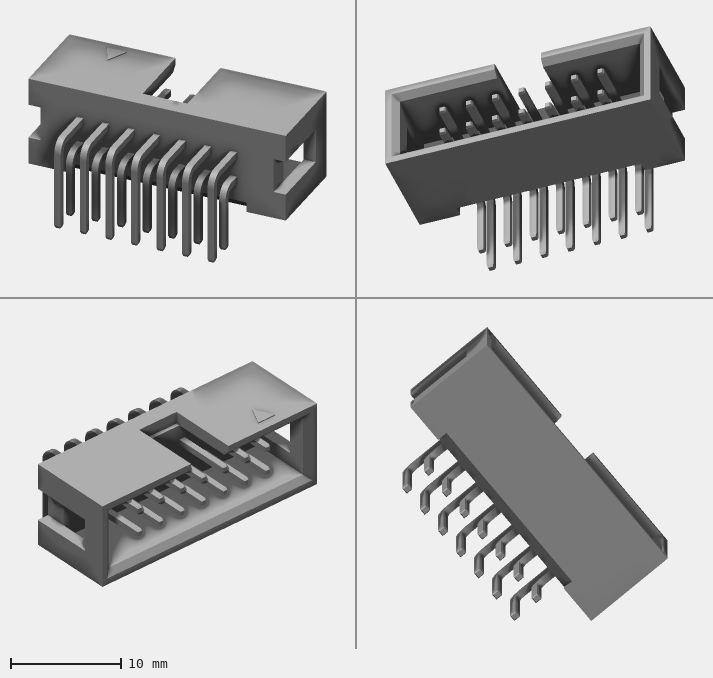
import cadquery as cq


length = 25.58
depth = 9.0
height = 8.8
end_wall = 1.2
side_wall = 1.25
back_wall = 2.17

lead_in = 0.6

key_width = 4.45
key_back_wall = 1.77
window_height = 3.4
window_front_wall = 2.4
bevel_length = 17.8
bevel_size = 1.0

mark_size = 2.0
mark_height = 0.1
mark_from_mouth = 1.0

pins_per_row = 7
pitch = 2.54
pin_width = 0.65
bend_radius = 1.3
pin_reach = 5.01
pin_drop = 3.0
pin_from_mouth = 0.82
tip_length = 0.25
tip_inset = 0.09

pin_positions = [(i - (pins_per_row - 1) / 2) * pitch for i in range(pins_per_row)]


def block(x_size, y_start, y_end, z_start, z_end):
    """Box centred on X = 0 between the given Y and Z limits."""
    return (
        cq.Workplane("XY")
        .box(x_size, y_end - y_start, z_end - z_start, centered=(True, False, False))
        .translate((0, y_start, z_start))
    )


def make_cavity():
    """Rectangular pocket that flares out at the mouth."""
    cavity_length = length - 2 * end_wall
    cavity_height = height - 2 * side_wall
    pocket = block(cavity_length, back_wall, depth, side_wall, height - side_wall)
    flare = (
        cq.Workplane("XZ", origin=(0, depth, height / 2))
        .rect(cavity_length + 2 * lead_in, cavity_height + 2 * lead_in)
        .workplane(offset=lead_in)
        .rect(cavity_length, cavity_height)
        .loft(ruled=True)
    )
    return pocket.union(flare)


def make_end_windows():
    """Slots through both end walls, open at the pin-side face."""
    z_start = (height - window_height) / 2
    slot = block(end_wall, 0, depth - window_front_wall, z_start, z_start + window_height)
    offset = (length - end_wall) / 2
    return slot.translate((-offset, 0, 0)).union(slot.translate((offset, 0, 0)))


def make_bottom_bevel():
    """45 degree relief along the lower pin-side edge, stopping short of both ends."""
    return (
        cq.Workplane("YZ", origin=(-bevel_length / 2, 0, 0))
        .polyline([(0, 0), (bevel_size, 0), (0, bevel_size)])
        .close()
        .extrude(bevel_length)
    )


def make_housing():
    key_slot = block(key_width, key_back_wall, depth, height - side_wall, height)
    return (
        block(length, 0, depth, 0, height)
        .cut(make_cavity())
        .cut(key_slot)
        .cut(make_end_windows())
        .cut(make_bottom_bevel())
    )


def make_mark():
    """Raised triangle above pin 1, pointing at its leg."""
    base_y = depth - mark_from_mouth
    pin_x = pin_positions[0]
    return (
        cq.Workplane("XY", origin=(0, 0, height))
        .polyline([
            (pin_x - mark_size / 2, base_y),
            (pin_x + mark_size / 2, base_y),
            (pin_x, base_y - mark_size),
        ])
        .close()
        .extrude(mark_height)
    )


def make_tip(direction, origin):
    """Tapered pin end that grows from the origin in the given direction."""
    end_width = pin_width - 2 * tip_inset
    return (
        cq.Workplane(cq.Plane(origin=origin, xDir=(1, 0, 0), normal=direction))
        .rect(pin_width, pin_width)
        .workplane(offset=tip_length)
        .rect(end_width, end_width)
        .loft(ruled=True)
    )


def make_pin(leg_y, contact_z):
    """Bent square pin, given the centrelines of its leg and of its contact."""
    half = pin_width / 2
    contact_end = depth - pin_from_mouth - tip_length
    leg_end = tip_length - pin_drop
    bend_y = leg_y - half + bend_radius
    bend_z = contact_z + half - bend_radius
    centre_radius = bend_radius - half
    path = (
        cq.Workplane("YZ")
        .moveTo(contact_end, contact_z)
        .lineTo(bend_y, contact_z)
        .radiusArc((leg_y, bend_z), -centre_radius)
        .lineTo(leg_y, leg_end)
    )
    bar = cq.Workplane("XZ", origin=(0, contact_end, contact_z)).rect(pin_width, pin_width).sweep(path)
    contact_tip = make_tip((0, 1, 0), (0, contact_end, contact_z))
    leg_tip = make_tip((0, 0, -1), (0, leg_y, leg_end))
    return bar.union(contact_tip).union(leg_tip)


upper_leg_y = pin_width / 2 - pin_reach
upper_pin = make_pin(upper_leg_y, (height + pitch) / 2)
lower_pin = make_pin(upper_leg_y + pitch, (height - pitch) / 2)

result = make_housing().union(make_mark())
for x in pin_positions:
    for pin in (upper_pin, lower_pin):
        result = result.union(pin.translate((x, 0, 0)))